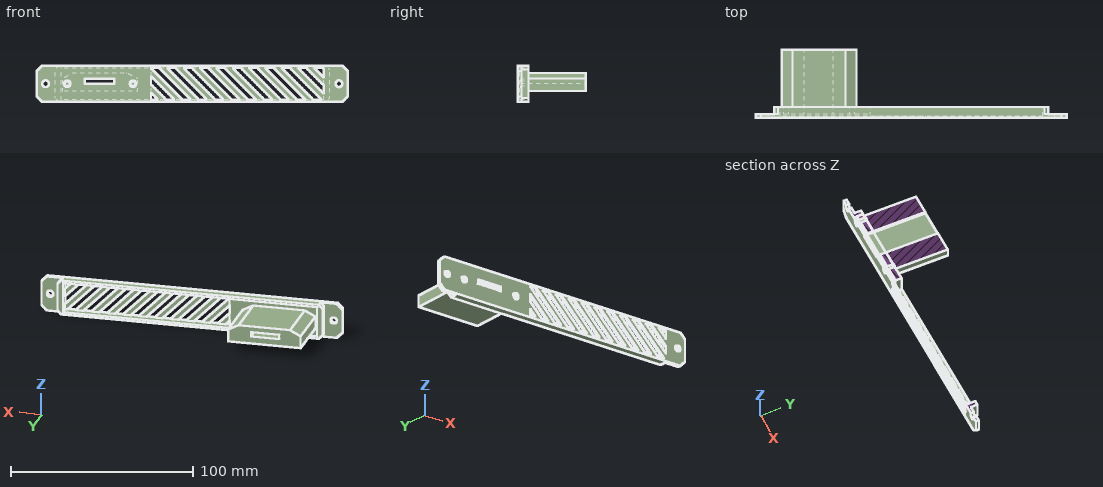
import cadquery as cq
length = 171.0
height = 20.0
flange_thickness = 2.0
bar_length = 150.5
bar_back = 6.0
flange_chamfer = 3.0
bar_chamfer = 2.0

pocket_length = 144.3
pocket_height = 17.1
front_wall = 1.0

screw_diameter = 3.6
mount_hole_spacing = 161.0

grille_left = -22.5
grille_right = pocket_length / 2
last_slot_left = 67.2
slots_left_of_corner = 2
slots_after_corner = 10
slot_count = slots_left_of_corner + 1 + slots_after_corner
slot_pitch = (last_slot_left - grille_left) / slots_after_corner
slot_width = 4.5

board_front = 2.0

total_depth = 37.5
housing_center_x = -50.6
housing_width = 41.2
housing_bottom = -4.1
housing_top = 6.0
housing_bevel_width = 6.0
housing_bevel_height = 3.0

housing_screw_spacing = 36.0
pilot_diameter = 2.7
opening_x = -51.0
opening_width = 16.0
opening_height = 2.5
opening_z = 1.4


def front_plane(y):
    """XZ plane at depth y, with local X along -X; positive extrusions run towards +Y."""
    return cq.Workplane(cq.Plane(origin=(0, y, 0), xDir=(-1, 0, 0), normal=(0, 1, 0)))


def block(x_size, z_size, y_start, y_end, x=0.0, z=0.0):
    """Box centred on x and z that spans the given depths."""
    return (
        cq.Workplane("XY")
        .box(x_size, y_end - y_start, z_size)
        .translate((x, (y_start + y_end) / 2, z))
    )


def holes(diameter, y_start, y_end, center_x, spacing):
    """Pair of round cutters along Y, placed evenly about center_x."""
    points = [(-center_x - spacing / 2, 0), (-center_x + spacing / 2, 0)]
    return front_plane(y_start).pushPoints(points).circle(diameter / 2).extrude(y_end - y_start)


def opening():
    """Straight passage through all the bodies."""
    return block(opening_width, opening_height, 0, total_depth, opening_x, opening_z)


def grille():
    """Slots at 45 degrees, clipped to the grille window; one starts in its upper left corner."""
    top = pocket_height / 2
    slots = cq.Workplane("XZ")
    for i in range(slot_count):
        x = grille_left + (i - slots_left_of_corner) * slot_pitch
        slots = slots.polyline([
            (x, top),
            (x + slot_width, top),
            (x + slot_width + pocket_height, -top),
            (x + pocket_height, -top),
        ]).close()
    window_center = (grille_left + grille_right) / 2
    window = block(grille_right - grille_left, pocket_height, 0, front_wall, window_center)
    return slots.extrude(-front_wall).intersect(window)


def make_faceplate():
    flange = block(length, height, 0, flange_thickness).edges("|Y").chamfer(flange_chamfer)
    bar = block(bar_length, height, 0, bar_back).edges("|Y").chamfer(bar_chamfer)
    plate = flange.union(bar).cut(block(pocket_length, pocket_height, front_wall, bar_back))
    plate = plate.cut(holes(screw_diameter, 0, flange_thickness, 0, mount_hole_spacing))
    plate = plate.cut(holes(screw_diameter, 0, front_wall, housing_center_x, housing_screw_spacing))
    return plate.cut(grille()).cut(opening())


def make_board():
    """Board that fills the pocket beside the grille."""
    left = -pocket_length / 2
    board = block(grille_left - left, pocket_height, board_front, bar_back, (left + grille_left) / 2)
    pilots = holes(pilot_diameter, board_front, bar_back, housing_center_x, housing_screw_spacing)
    return board.cut(pilots).cut(opening())


def make_housing():
    """Box with two bevelled upper edges, standing on the back of the board."""
    left = housing_center_x - housing_width / 2
    right = left + housing_width
    bevel_z = housing_top - housing_bevel_height
    body = (
        cq.Workplane("XZ", origin=(0, bar_back, 0))
        .polyline([
            (left, housing_bottom),
            (right, housing_bottom),
            (right, bevel_z),
            (right - housing_bevel_width, housing_top),
            (left + housing_bevel_width, housing_top),
            (left, bevel_z),
        ])
        .close()
        .extrude(bar_back - total_depth)
    )
    return body.cut(opening())


faceplate = make_faceplate()
board = make_board()
housing = make_housing()
result = cq.Compound.makeCompound([faceplate.val(), board.val(), housing.val()])